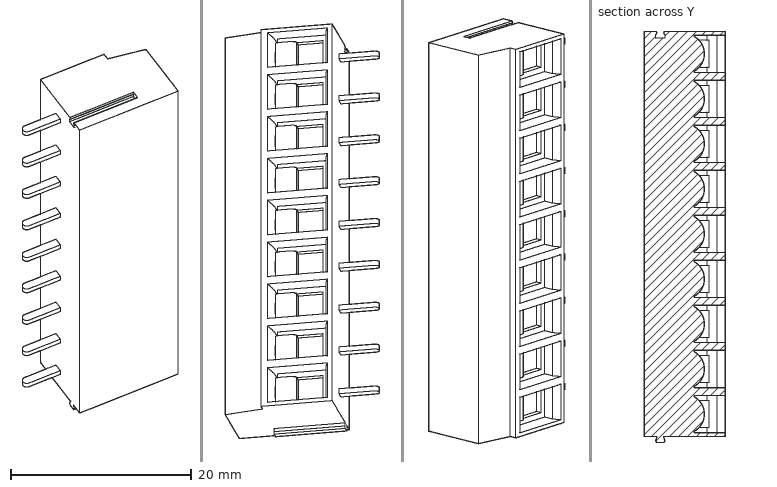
import cadquery as cq


cell_count = 9
height = 45.0
pitch = height / cell_count
width = 9.0
depth = 12.5
shoulder_depth = 8.1
shoulder_inset = 0.8
back_inset = 1.6

dovetail_x = 7.2
dovetail_width = 1.05
neck_width = 0.75
rail_height = 0.7
rail_flare = 0.435
rail_tip_width = 0.8
groove_depth = 0.75
groove_flare = 0.4
groove_mouth_width = 0.9
groove_mouth_depth = 0.2

pin_x = 4.05
pin_width = 1.0
pin_thickness = 0.6
pin_length = 4.48
pin_root = 0.27

entry_height = 4.1
entry_low_y = 0.5
entry_high_y = 7.35
lead_in_depth = 0.9
lead_in_low_y = 0.9
lead_in_high_y = 7.15
floor_x = 2.05
floor_high_y = 7.0

clamp_height = 3.0
clamp_x = 1.8
clamp_low_y = 4.45
clamp_high_y = 6.9
clamp_low_radius = 0.6
clamp_high_radius = 0.35
opening_height = 2.85
opening_low_y = 1.5
opening_depth = 0.7

slot_low_y = 6.65
slot_depth = 1.35
screw_x = width / 2
screw_radius = 2.2


def slab(outline, thickness, z_center):
    """Extrude a closed XY outline by thickness, centred on z_center."""
    return outline.extrude(thickness / 2, both=True).translate((0, 0, z_center))


def block(x_range, y_range, thickness, z_center):
    """Rectangular block between the given X and Y limits, centred on z_center."""
    x_size = x_range[1] - x_range[0]
    y_size = y_range[1] - y_range[0]
    solid = cq.Workplane("XY").box(x_size, y_size, thickness, centered=(False, False, True))
    return solid.translate((x_range[0], y_range[0], z_center))


def make_housing():
    outline = [
        (0, 0),
        (width, 0),
        (width, depth),
        (back_inset, depth),
        (shoulder_inset, shoulder_depth),
        (0, shoulder_depth),
    ]
    return cq.Workplane("XY").polyline(outline).close().extrude(height)


def dovetail_bar(half_profile):
    """Bar along Y whose section is the given (half width, z) points mirrored about dovetail_x."""
    mirrored = [(-x, z) for x, z in reversed(half_profile)]
    section = cq.Workplane("XZ").polyline(half_profile + mirrored).close()
    return section.extrude(-shoulder_depth).translate((dovetail_x, 0, 0))


def make_rail():
    """Dovetail below the housing, tapering again towards its tip."""
    half_profile = [
        (neck_width / 2, 0),
        (dovetail_width / 2, -rail_flare),
        (rail_tip_width / 2, -rail_height),
    ]
    return dovetail_bar(half_profile)


def make_groove():
    """Dovetail groove in the top of the housing, with a chamfered mouth."""
    half_profile = [
        (groove_mouth_width / 2, height),
        (neck_width / 2, height - groove_mouth_depth),
        (dovetail_width / 2, height - groove_flare),
        (dovetail_width / 2, height - groove_depth),
    ]
    return dovetail_bar(half_profile)


def make_pin(z_center):
    """Flat pin with a full-round tip, rooted in the wall below the entries."""
    radius = pin_width / 2
    tip_center_y = radius - pin_length
    outline = (
        cq.Workplane("XY")
        .moveTo(pin_x - radius, pin_root)
        .lineTo(pin_x - radius, tip_center_y)
        .threePointArc((pin_x, -pin_length), (pin_x + radius, tip_center_y))
        .lineTo(pin_x + radius, pin_root)
        .close()
    )
    return slab(outline, pin_thickness, z_center)


def make_entry(z_center):
    """Wire-entry pocket with a tapered mouth."""
    outline = [
        (0, entry_low_y),
        (lead_in_depth, lead_in_low_y),
        (floor_x, lead_in_low_y),
        (floor_x, floor_high_y),
        (lead_in_depth, lead_in_high_y),
        (0, entry_high_y),
    ]
    return slab(cq.Workplane("XY").polyline(outline).close(), entry_height, z_center)


def make_screw_slot(z_center):
    """Slot in the entry floor that leaves the round screw shank standing behind it."""
    y_range = (slot_low_y, floor_high_y)
    slot = block((floor_x, floor_x + slot_depth), y_range, entry_height, z_center)
    shank = (
        cq.Workplane("XZ")
        .center(screw_x, z_center)
        .circle(screw_radius)
        .extrude(-depth)
    )
    return slot.cut(shank)


def make_opening(z_center):
    """Blind wire opening in the entry floor."""
    x_range = (floor_x, floor_x + opening_depth)
    return block(x_range, (opening_low_y, clamp_low_y), opening_height, z_center)


def make_clamp(z_center):
    """Clamp bar with rounded long edges; the larger rounding faces the wire opening."""
    bar = block((clamp_x, floor_x + slot_depth), (clamp_low_y, clamp_high_y), clamp_height, z_center)
    bar = bar.edges("|Z and <X and <Y").fillet(clamp_low_radius)
    return bar.edges("|Z and <X and >Y").fillet(clamp_high_radius)


result = make_housing()
result = result.union(make_rail())
result = result.cut(make_groove())
for cell in range(cell_count):
    cell_z = (cell + 0.5) * pitch
    result = result.cut(make_entry(cell_z))
    result = result.cut(make_screw_slot(cell_z))
    result = result.cut(make_opening(cell_z))
    result = result.union(make_clamp(cell_z))
    result = result.union(make_pin(cell_z))